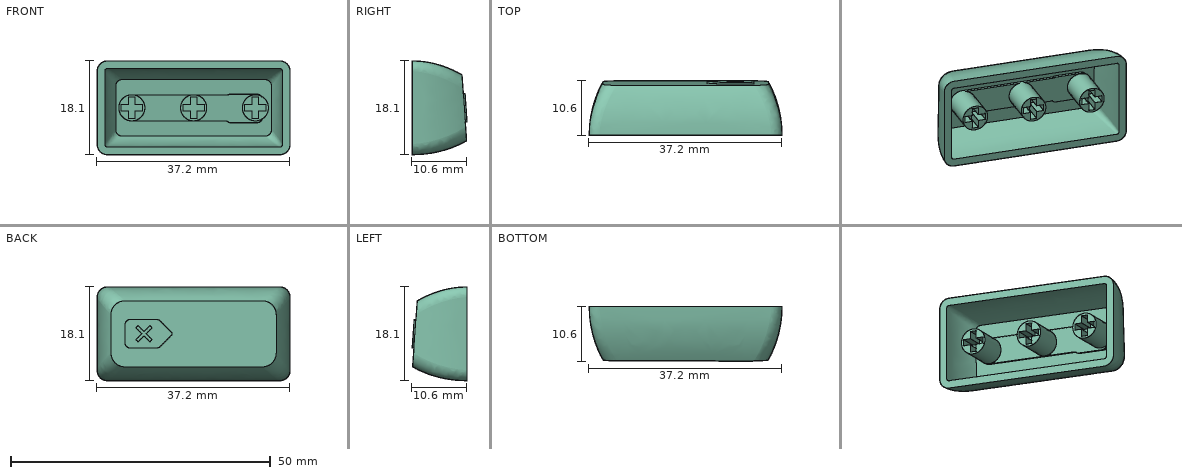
import cadquery as cq
import math

LENGTH = 37.15
WIDTH = 18.1
WALL = 1.5
TOP_HEIGHT = 10.05
TOP_TILT = 4.0
RIM_RADIUS = 2.0
TOP_RADIUS = 2.67
OUTER_INSET = 2.67
CAVITY_DEPTH = TOP_HEIGHT - WALL
CAVITY_RIM_RADIUS = RIM_RADIUS - WALL
CAVITY_FLOOR_RADIUS = 1.2
CAVITY_INSET = 2.1
SECTION_COUNT = 5

STEM_DIAMETER = 5.0
STEM_PITCH = 11.9
STEM_COUNT = 3
STEM_RECESS = 1.0
CROSS_LENGTH = 4.12
CROSS_WIDTH = 1.23
CROSS_DEPTH = 4.0
PLATE_THICKNESS = 0.52
PLATE_LENGTH = (STEM_COUNT - 1) * STEM_PITCH + STEM_DIAMETER

SYMBOL_TIP = 3.98
SYMBOL_END = 13.2
SYMBOL_HALF_HEIGHT = 2.75
SYMBOL_SHOULDER = SYMBOL_TIP + SYMBOL_HALF_HEIGHT
SYMBOL_TIP_RADIUS = 0.4
SYMBOL_CORNER_RADIUS = 0.95
SYMBOL_RAISE = 0.35

MARK_CENTRE = 9.55
MARK_SPAN = 3.12
MARK_STROKE = 0.6
MARK_ANGLE = 45.0
STROKE_LENGTH = MARK_SPAN * math.sqrt(2) - MARK_STROKE

TILT_COSINE = math.cos(math.radians(TOP_TILT))
WALL_DEPTH = WALL * TILT_COSINE
PLATE_DEPTH = WALL_DEPTH + PLATE_THICKNESS
PLATE_SHIFT = -WALL * math.sin(math.radians(TOP_TILT))


def tilted_plane(height, tilt):
    """Plane through the Y axis at a height, with its +Y normal leaning towards +Z by the tilt."""
    lean = math.radians(tilt)
    return cq.Plane(origin=(0, height, 0), xDir=(1, 0, 0), normal=(0, math.cos(lean), math.sin(lean)))


def wall_plane(depth):
    """Workplane parallel to the closed wall, this depth below its outer face."""
    return cq.Workplane(tilted_plane(TOP_HEIGHT, TOP_TILT)).workplane(offset=-depth)


def domed_block(length, width, height, inset, rim_radius, top_radius):
    """Rounded block whose sides start along Y and lean in on an arc, up to a tilted top."""
    arc_radius = (height**2 + inset**2) / (2 * inset)
    sections = []
    for index in range(SECTION_COUNT):
        share = index / (SECTION_COUNT - 1)
        level = share * height
        lean_in = arc_radius - math.sqrt(arc_radius**2 - level**2)
        corner = rim_radius + share * (top_radius - rim_radius)
        section = cq.Sketch().rect(length - 2 * lean_in, width - 2 * lean_in).vertices().fillet(corner)
        sections.append(section.moved(cq.Location(tilted_plane(level, share * TOP_TILT))))
    return cq.Workplane().placeSketch(*sections).loft()


def symbol_outline():
    """Backspace symbol: a bar with one pointed end, all corners rounded."""
    tip = (SYMBOL_TIP, 0)
    corners = [
        (SYMBOL_SHOULDER, SYMBOL_HALF_HEIGHT),
        (SYMBOL_END, SYMBOL_HALF_HEIGHT),
        (SYMBOL_END, -SYMBOL_HALF_HEIGHT),
        (SYMBOL_SHOULDER, -SYMBOL_HALF_HEIGHT),
    ]
    outline = cq.Sketch().polygon([tip, *corners, tip])
    outline = outline.vertices("<X").fillet(SYMBOL_TIP_RADIUS).reset()
    body_box = cq.selectors.BoxSelector(
        (SYMBOL_SHOULDER - SYMBOL_TIP_RADIUS, -LENGTH, -0.37), (LENGTH, LENGTH, 0.37)
    )
    return outline.vertices(body_box).fillet(SYMBOL_CORNER_RADIUS)


def make_symbol(depth):
    """Symbol from this depth below the closed wall to its raised face."""
    return wall_plane(depth).placeSketch(symbol_outline()).extrude(depth + SYMBOL_RAISE)


def make_mark():
    """X of two crossed strokes, as deep as the closed wall is thick."""
    strokes = cq.Sketch()
    for angle in (MARK_ANGLE, -MARK_ANGLE):
        strokes = strokes.push([(MARK_CENTRE, 0)]).rect(STROKE_LENGTH, MARK_STROKE, angle=angle).reset()
    return wall_plane(WALL_DEPTH).placeSketch(strokes.clean()).extrude(WALL_DEPTH + SYMBOL_RAISE)


def stem_row():
    """Workplane at the stem ends, facing -Y, with a point at each stem centre."""
    return cq.Workplane("XZ", origin=(0, STEM_RECESS, 0)).rarray(STEM_PITCH, 0.37, STEM_COUNT, 1)


def make_stems():
    """Round stems from their recessed ends to the cavity floor."""
    rods = stem_row().circle(STEM_DIAMETER / 2).extrude(-TOP_HEIGHT)
    beyond_floor = wall_plane(WALL_DEPTH).rect(2 * LENGTH, 2 * LENGTH).extrude(TOP_HEIGHT)
    return rods.cut(beyond_floor)


def make_insert():
    """Stems, plate and symbol as one body, with a cross socket in each stem."""
    plate = (
        wall_plane(PLATE_DEPTH)
        .center(0, PLATE_SHIFT)
        .slot2D(PLATE_LENGTH, STEM_DIAMETER)
        .extrude(PLATE_THICKNESS)
    )
    body = plate.union(make_symbol(PLATE_DEPTH)).union(make_stems())
    for across, up in ((CROSS_LENGTH, CROSS_WIDTH), (CROSS_WIDTH, CROSS_LENGTH)):
        body = body.cut(stem_row().rect(across, up).extrude(-CROSS_DEPTH))
    return body


def make_shell():
    """Hollow keycap with a symbol-shaped opening through its closed wall."""
    outside = domed_block(LENGTH, WIDTH, TOP_HEIGHT, OUTER_INSET, RIM_RADIUS, TOP_RADIUS)
    cavity = domed_block(
        LENGTH - 2 * WALL,
        WIDTH - 2 * WALL,
        CAVITY_DEPTH,
        CAVITY_INSET,
        CAVITY_RIM_RADIUS,
        CAVITY_FLOOR_RADIUS,
    )
    return outside.cut(cavity).cut(make_symbol(PLATE_DEPTH))


shell = make_shell()
mark = make_mark()
insert = make_insert().cut(mark)

result = cq.Compound.makeCompound([body.solids().val() for body in (shell, insert, mark)])